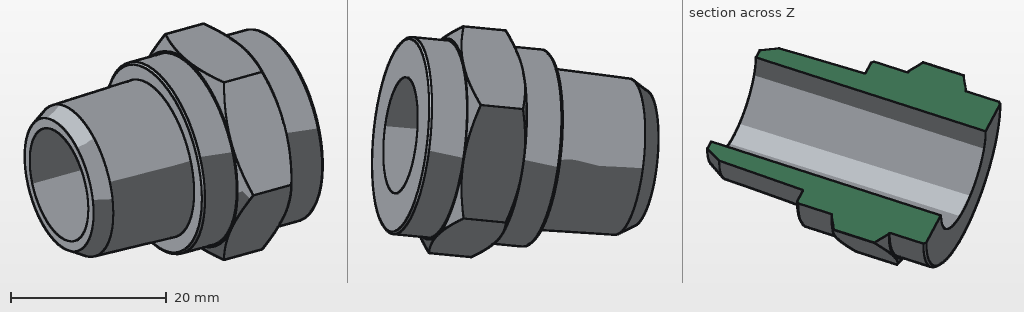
import cadquery as cq
import math

total_length = 32.0
body_length = 18.0
hex_width = 8.0
hex_back_offset = 5.0
tip_chamfer_length = 2.2

bore_diameter = 15.0
body_diameter = 25.5
hex_across_flats = 26.0
hex_sides = 6
spigot_root_diameter = 20.955
taper_ratio = 1 / 16
body_chamfer = 0.3

tip_chamfer_angle = math.radians(30)
hex_chamfer_angle = math.radians(30)

spigot_length = total_length - body_length
taper_length = spigot_length - tip_chamfer_length
hex_back = total_length - hex_back_offset
hex_front = hex_back - hex_width

body_radius = body_diameter / 2
spigot_root_radius = spigot_root_diameter / 2
taper_end_radius = spigot_root_radius - taper_length * taper_ratio / 2
tip_radius = taper_end_radius - tip_chamfer_length * math.tan(tip_chamfer_angle)


def revolve_profile(points):
    """Revolve a closed (radius, y) outline around the Y axis."""
    return cq.Workplane("XY").polyline(points).close().revolve(360, (0, 0, 0), (0, 1, 0))


def make_turned_body():
    """Cylindrical body with chamfered rims and the tapered spigot in front of it."""
    rim_radius = body_radius - body_chamfer
    return revolve_profile([
        (0, 0),
        (tip_radius, 0),
        (taper_end_radius, tip_chamfer_length),
        (spigot_root_radius, spigot_length),
        (rim_radius, spigot_length),
        (body_radius, spigot_length + body_chamfer),
        (body_radius, total_length - body_chamfer),
        (rim_radius, total_length),
        (0, total_length),
    ])


def make_hexagon():
    """Hexagonal wrench section, flats facing +Z and -Z, corners turned off at both ends."""
    corner_diameter = hex_across_flats / math.cos(math.pi / hex_sides)
    prism = (
        cq.Workplane("XZ", origin=(0, hex_back, 0))
        .polygon(hex_sides, corner_diameter)
        .extrude(hex_width)
    )
    flat_radius = hex_across_flats / 2
    corner_radius = corner_diameter / 2
    corner_drop = (corner_radius - flat_radius) * math.tan(hex_chamfer_angle)
    turning_envelope = revolve_profile([
        (0, hex_front),
        (flat_radius, hex_front),
        (corner_radius, hex_front + corner_drop),
        (corner_radius, hex_back - corner_drop),
        (flat_radius, hex_back),
        (0, hex_back),
    ])
    return prism.intersect(turning_envelope)


def make_bore():
    """Straight passage through the full length."""
    return cq.Workplane("XZ").circle(bore_diameter / 2).extrude(-total_length)


result = make_turned_body().union(make_hexagon()).cut(make_bore())